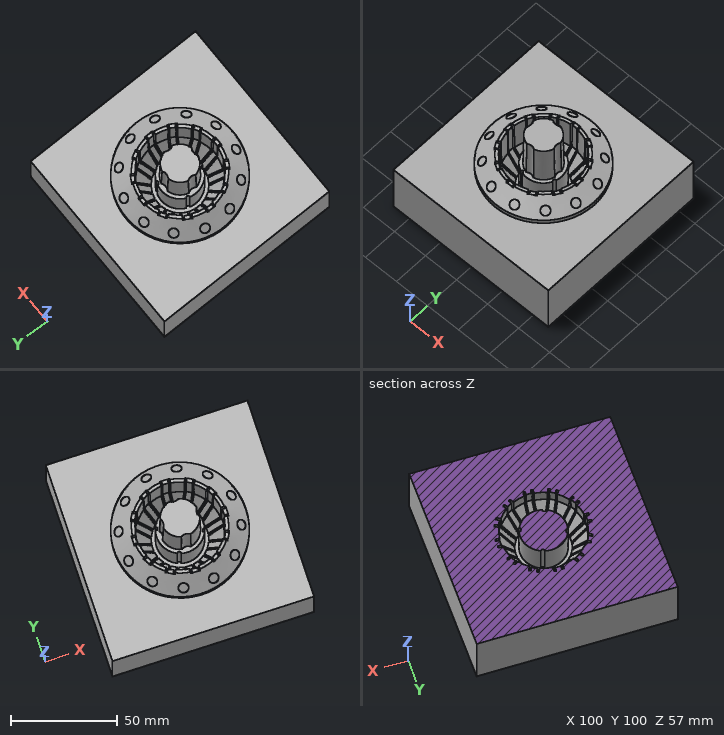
import cadquery as cq
import math

BLOCK_SIDE = 100.0
BLOCK_HEIGHT = 31.0

COLLAR_RADIUS = 65.29 / 2
COLLAR_TOP = BLOCK_HEIGHT + 2.5
CONE_TOP = BLOCK_HEIGHT + 9.75
CONE_TOP_RADIUS = 22.9

DRAFT_ANGLE = 1.0

POCKET_FLOOR = 13.5
FLOOR_RADIUS = 27.0 / 2
WALL_RADIUS = 21.2
WALL_FOOT = 22.7

COLUMN_RADIUS = 11.6
COLUMN_TOP = COLLAR_TOP
NOTCH_COUNT = 4
NOTCH_RADIUS = 0.9
NOTCH_FIRST_ANGLE = 70.0

SHAFT_RADIUS = 9.3
SHAFT_TOP = 57.0
GROOVE_COUNT = 4
GROOVE_RADIUS = 4.0
GROOVE_BOTTOM_RADIUS = 8.3

TAB_COUNT = 12
TAB_WIDTH = 3.0
TAB_SETBACK = 0.3
TAB_DROP = 0.35
SLIT_WIDTH = 0.85
SLIT_SETBACK = 2.2
SLIT_FLOOR_RADIUS = 15.5

RECESS_COUNT = 12
RECESS_DIAMETER = 4.9
RECESS_DEPTH = 0.2
RECESS_CENTRE_RADIUS = 29.0
RECESS_FIRST_ANGLE = 15.0


def cylinder(radius, bottom, top):
    return cq.Workplane("XY").workplane(offset=bottom).circle(radius).extrude(top - bottom)


def revolved(points):
    return cq.Workplane("XZ").polyline(points).close().revolve(360, (0, 0), (0, 1))


def radial_bar(width, offset):
    """Bar along +X from the Z axis out to the collar radius, to limit a cut to one strip of the wall."""
    return (
        cq.Workplane("XY")
        .workplane(offset=POCKET_FLOOR)
        .center(COLLAR_RADIUS / 2, offset)
        .rect(COLLAR_RADIUS, width)
        .extrude(CONE_TOP - POCKET_FLOOR)
    )


def around(shape, count, first_angle=0.0):
    """Tool holding `count` copies of a shape, evenly spaced about the Z axis."""
    tool = cq.Workplane("XY")
    for index in range(count):
        tool = tool.add(shape.rotate((0, 0, 0), (0, 0, 1), first_angle + index * 360 / count))
    return tool.combine(glue=False)


def pocket(floor_radius, wall_radius):
    """Ring-shaped space between the column and the pocket wall."""
    wall_foot_radius = wall_radius - (CONE_TOP - WALL_FOOT) * math.tan(math.radians(DRAFT_ANGLE))
    return revolved(
        [
            (COLUMN_RADIUS, POCKET_FLOOR),
            (floor_radius, POCKET_FLOOR),
            (wall_foot_radius, WALL_FOOT),
            (wall_radius, CONE_TOP),
            (COLUMN_RADIUS, CONE_TOP),
        ]
    )


def block_with_core():
    dome = revolved(
        [
            (0, BLOCK_HEIGHT),
            (COLLAR_RADIUS, BLOCK_HEIGHT),
            (COLLAR_RADIUS, COLLAR_TOP),
            (CONE_TOP_RADIUS, CONE_TOP),
            (0, CONE_TOP),
        ]
    )
    block = cq.Workplane("XY").box(BLOCK_SIDE, BLOCK_SIDE, BLOCK_HEIGHT, centered=(True, True, False))
    return block.union(dome).cut(cylinder(COLUMN_RADIUS, COLUMN_TOP, CONE_TOP))


def tab_cuts():
    """Set each tab back from the rest of the pocket wall and lower its top."""
    tab_top = CONE_TOP - TAB_DROP
    recessed_wall = pocket(FLOOR_RADIUS, WALL_RADIUS + TAB_SETBACK)
    lowered_top = cylinder(COLLAR_RADIUS, tab_top, CONE_TOP)
    tab = recessed_wall.union(lowered_top).intersect(radial_bar(TAB_WIDTH, 0))
    return around(tab, TAB_COUNT)


def slit_cuts(side):
    """Slits along one side (1 or -1) of every tab."""
    slit_offset = side * (TAB_WIDTH + SLIT_WIDTH) / 2
    slit_wall = pocket(SLIT_FLOOR_RADIUS, WALL_RADIUS + SLIT_SETBACK)
    return around(slit_wall.intersect(radial_bar(SLIT_WIDTH, slit_offset)), TAB_COUNT)


def column_notches():
    notch = cylinder(NOTCH_RADIUS, POCKET_FLOOR, COLUMN_TOP).translate((COLUMN_RADIUS, 0, 0))
    return around(notch, NOTCH_COUNT, NOTCH_FIRST_ANGLE)


def shaft():
    groove_centre_radius = GROOVE_BOTTOM_RADIUS + GROOVE_RADIUS
    profile = (
        cq.Sketch()
        .circle(SHAFT_RADIUS)
        .parray(groove_centre_radius, 0, 360, GROOVE_COUNT)
        .circle(GROOVE_RADIUS, mode="s")
    )
    top_plane = cq.Workplane("XY").workplane(offset=SHAFT_TOP)
    return top_plane.placeSketch(profile).extrude(COLUMN_TOP - SHAFT_TOP, taper=-DRAFT_ANGLE)


def cone_recesses():
    run = COLLAR_RADIUS - CONE_TOP_RADIUS
    rise = CONE_TOP - COLLAR_TOP
    centre_height = COLLAR_TOP + (COLLAR_RADIUS - RECESS_CENTRE_RADIUS) * rise / run
    slant = math.hypot(run, rise)
    outward = cq.Vector(rise / slant, 0, run / slant)
    centre = cq.Vector(RECESS_CENTRE_RADIUS, 0, centre_height)
    start = centre - outward * RECESS_DEPTH
    recess = cq.Workplane(cq.Solid.makeCylinder(RECESS_DIAMETER / 2, 2 * RECESS_DEPTH, start, outward))
    return around(recess, RECESS_COUNT, RECESS_FIRST_ANGLE)


result = (
    block_with_core()
    .cut(pocket(FLOOR_RADIUS, WALL_RADIUS))
    .cut(tab_cuts())
    .cut(slit_cuts(1))
    .cut(slit_cuts(-1))
    .cut(column_notches())
    .cut(cone_recesses())
    .union(shaft())
)